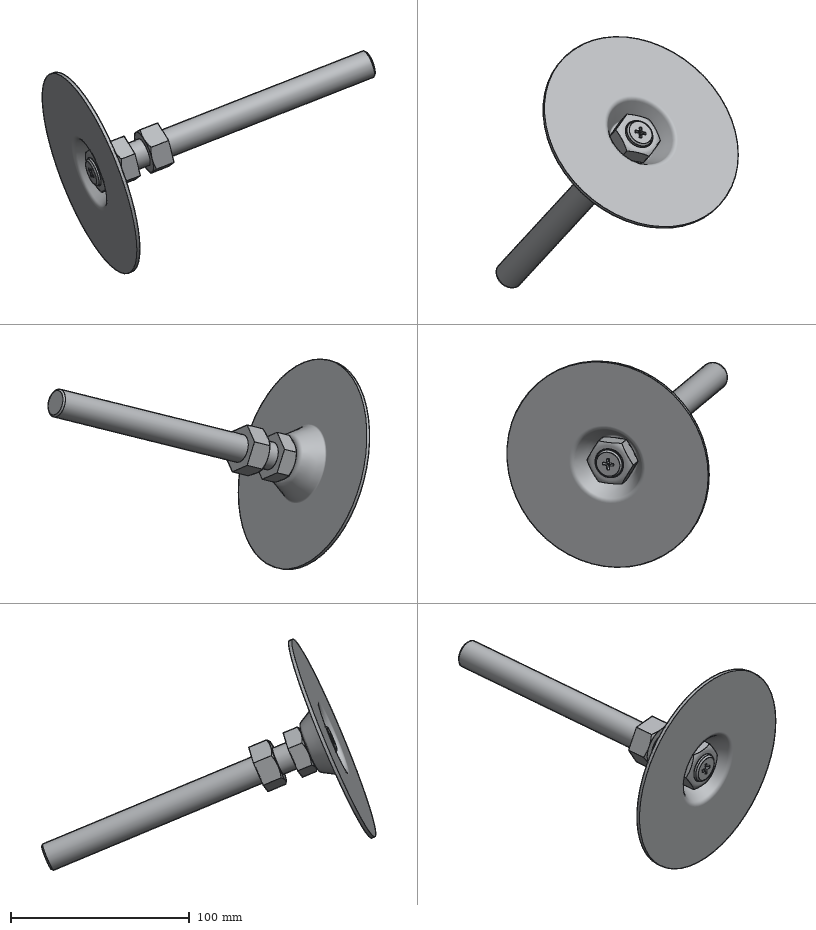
import cadquery as cq
import math


sheet = 2.0
plate_radius = 60.0
cup_height = 15.0
cup_depth = cup_height - sheet
cup_slope = math.radians(30)
mouth_corner_radius = 20.87
tight_bend = 1.0
wide_bend = tight_bend + sheet

stud_radius = 8.0
stud_bottom = 1.0
stud_top = 175.0
stud_chamfer = 1.0
collar_clearance = 0.4
collar_bottom = cup_height + collar_clearance
collar_top = 25.0
recess_length = 6.8
recess_width = 1.6
recess_depth = 7.0

across_flats = 24.0
across_corners = across_flats / math.cos(math.radians(30))
chamfer_angle = math.radians(30)
bearing_radius = across_flats / 2

nut_bottom = 34.0
nut_height = 12.0

lock_nut_height = 10.0
lock_face_radius = 11.4
lock_rounding = 4.4
lock_bore_chamfer = 0.5


def hex_prism(bottom, height):
    """Hexagon along Y with its corners on the X axis."""
    return cq.Workplane("XZ", origin=(0, bottom, 0)).polygon(6, across_corners).extrude(-height)


def corner_envelope(bottom, height, face_radius):
    """Round body along Y that turns hexagon corners conical at its lower end."""
    corner_radius = across_corners / 2
    drop = (corner_radius - face_radius) * math.tan(chamfer_angle)
    return (
        cq.Workplane("XY")
        .moveTo(0, bottom)
        .lineTo(face_radius, bottom)
        .lineTo(corner_radius, bottom + drop)
        .lineTo(corner_radius, bottom + height)
        .lineTo(0, bottom + height)
        .close()
        .revolve(360, (0, 0, 0), (0, 1, 0))
    )


def chamfered_hex(bottom, height):
    """Hexagon with conical corners at the lower end."""
    return hex_prism(bottom, height).intersect(corner_envelope(bottom, height, bearing_radius))


def stud_bore(bottom, height):
    return cq.Workplane("XZ", origin=(0, bottom, 0)).circle(stud_radius).extrude(-height)


def cup_cone(base, corner_radius, crown_bend):
    """Cone that rises from base by the inner depth of the cup, with a rounded crown edge."""
    crown_radius = corner_radius - cup_depth * math.tan(cup_slope)
    cone = (
        cq.Workplane("XY")
        .moveTo(0, base)
        .lineTo(corner_radius, base)
        .lineTo(crown_radius, base + cup_depth)
        .lineTo(0, base + cup_depth)
        .close()
        .revolve(360, (0, 0, 0), (0, 1, 0))
    )
    return cone.faces(">Y").edges().fillet(crown_bend)


def make_base_plate():
    foot_corner_radius = mouth_corner_radius + sheet * math.tan((math.radians(90) - cup_slope) / 2)
    plate = cq.Workplane("XZ").circle(plate_radius).extrude(-sheet)
    plate = plate.union(cup_cone(sheet, foot_corner_radius, wide_bend))
    plate = plate.cut(cup_cone(0, mouth_corner_radius, tight_bend))
    smallest_circle = cq.selectors.RadiusNthSelector(0)
    plate = plate.faces("<Y").edges(smallest_circle).fillet(wide_bend)
    upper_face = cq.selectors.NearestToPointSelector((0, sheet, 0))
    plate = plate.faces(upper_face).edges(smallest_circle).fillet(tight_bend)
    return plate.cut(stud_bore(0, cup_height))


def cross_recess():
    """Two crossing slots whose floor falls as a cone towards the stud axis."""
    floor_cone = (
        cq.Workplane("XY")
        .moveTo(0, stud_bottom)
        .lineTo(recess_length / 2, stud_bottom)
        .lineTo(0, stud_bottom + recess_depth)
        .close()
        .revolve(360, (0, 0, 0), (0, 1, 0))
    )
    face = cq.Workplane("XZ", origin=(0, stud_bottom, 0))
    slots = face.slot2D(recess_length, recess_width).extrude(-recess_depth)
    slots = slots.union(face.slot2D(recess_length, recess_width, 90).extrude(-recess_depth))
    return slots.intersect(floor_cone)


def make_stud():
    shank = stud_bore(stud_bottom, stud_top - stud_bottom).faces("<Y or >Y").chamfer(stud_chamfer)
    collar = chamfered_hex(collar_bottom, collar_top - collar_bottom)
    return shank.union(collar).cut(cross_recess())


def make_nut():
    return chamfered_hex(nut_bottom, nut_height).cut(stud_bore(nut_bottom, nut_height))


def make_lock_nut():
    bottom = cup_depth - lock_nut_height
    lower_envelope = corner_envelope(bottom, lock_nut_height, lock_face_radius)
    lower_envelope = lower_envelope.faces("<Y").edges().fillet(lock_rounding)
    upper_envelope = corner_envelope(-cup_depth, lock_nut_height, bearing_radius).mirror("XZ")
    body = hex_prism(bottom, lock_nut_height).intersect(lower_envelope).intersect(upper_envelope)
    body = body.cut(stud_bore(bottom, lock_nut_height))
    bore_edge = cq.selectors.RadiusNthSelector(0)
    return body.faces("<Y").edges(bore_edge).chamfer(lock_bore_chamfer)


base_plate = make_base_plate()
stud = make_stud()
nut = make_nut()
lock_nut = make_lock_nut()

result = cq.Compound.makeCompound([base_plate.val(), stud.val(), nut.val(), lock_nut.val()])